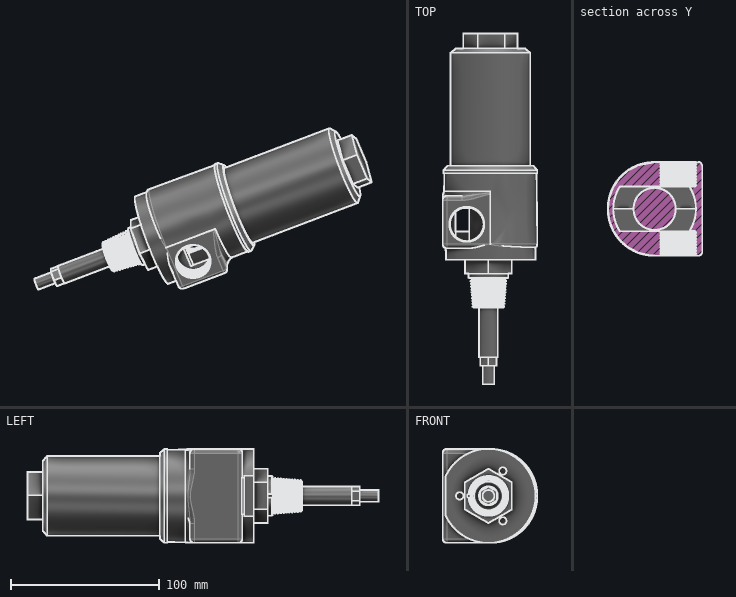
import cadquery as cq
import math

body_radius = 31.75
body_rear_radius = 31.2
body_start = 7.8
body_end = 58.4
edge_round = 3.0

block_reach = 32.29
block_end = 43.2
root_round = 3.2

collar_chamfer = 3.1
collar_chamfer_radial = 2.8
collar_end = 63.5

bowl_radius = 27.0
bowl_end = 142.5
bowl_chamfer = 3.0
bowl_chamfer_radial = 3.6
hex_flats = 31.75
hex_corners = hex_flats / math.cos(math.pi / 6)
rear_hex_end = 152.74
rear_hex_turn = 1.8

cap_axis_x = -1.33
cap_radius = body_radius
cap_flat_x = -30.0
cap_flat_length = 6.5
cap_lip_x = -30.6
pin_hole_diameter = 4.98
pin_hole_circle_radius = 19.4
pin_hole_depth = 3.0
pin_hole_count = 3
pin_hole_first_angle = 60

nut_end = -9.3
nut_turn = 30
shoulder_radius = 13.5
shoulder_end = -12.5
shoulder_chamfer = 0.6
vent_diameter = 2.64
vent_offset = 13.0
vent_depth = 4.0
thread_end = -32.4
thread_start_radius = 12.2
thread_end_radius = 10.7
thread_pitch = 1.81
thread_depth = 1.0
neck_radius = 11.0
neck_length = 0.8
rod_radius = 12.83 / 2
rod_end = -65.8
small_hex_corners = 12.83
small_hex_end = -71.4
tip_radius = 8.0 / 2
tip_end = -84.0

port_diameter = 22.63
port_mouth_diameter = 23.7
port_mouth_depth = 0.6
port_x = -15.9
port_y = 24.0
port_floor_z = 15.0
port_thread_depth = 0.7
chamber_radius = 27.8
chamber_start = 12.0
chamber_lower_start = 19.3
chamber_end = 34.7
post_radius = 28.57 / 2


def along_y(start, x=0.0):
    """Workplane normal to -Y, so a negative extrusion runs toward +Y."""
    return cq.Workplane("XZ", origin=(x, start, 0))


def cylinder(radius, start, end, x=0.0):
    return along_y(start, x).circle(radius).extrude(start - end)


def hexagon(corner_diameter, start, end, turn, x=0.0):
    """Hexagonal prism along Y; a turn of zero puts corners on +X and -X."""
    prism = along_y(start, x).polygon(6, corner_diameter).extrude(start - end)
    return prism.rotate((x, 0, 0), (x, 1, 0), turn)


def revolve_profile(points, x=0.0):
    """Turn a (radius, y) outline around the Y-parallel axis through x."""
    outline = cq.Workplane("XY", origin=(x, 0, 0)).polyline(points).close()
    return outline.revolve(360, (0, 0, 0), (0, 1, 0))


def make_shell():
    shell = revolve_profile([
        (0, body_start),
        (body_radius, body_start),
        (body_rear_radius, body_end),
        (0, body_end),
    ])
    return shell.faces("<Y").edges().fillet(edge_round)


def make_block_root(envelope):
    """Concave sweep that carries the rear of the block up onto the round shell."""
    taper = (body_radius - body_rear_radius) / (body_end - body_start)
    shell_radius = body_radius - taper * (block_end - body_start)
    rim_radius = shell_radius + root_round
    root_end = block_end + root_round
    arc_middle = (
        rim_radius - root_round * math.cos(math.pi / 4),
        root_end - root_round * math.sin(math.pi / 4),
    )
    outline = (
        cq.Workplane("XY")
        .moveTo(0, body_start)
        .lineTo(rim_radius, body_start)
        .lineTo(rim_radius, block_end)
        .threePointArc(arc_middle, (shell_radius, root_end))
        .lineTo(0, root_end)
        .close()
    )
    return outline.revolve(360, (0, 0, 0), (0, 1, 0)).intersect(envelope)


def block_box(end):
    box = cq.Workplane("XY").box(
        block_reach, end - body_start, 2 * body_radius, centered=(False, False, True)
    )
    return box.translate((-block_reach, body_start, 0))


def make_block():
    block = block_box(block_end).union(make_block_root(block_box(body_end)))
    return block.edges("<X or ((>Z or <Z) and (not (|Y and >X)))").fillet(edge_round)


def make_collar():
    return revolve_profile([
        (0, body_end),
        (body_radius, body_end),
        (body_radius, collar_end - collar_chamfer),
        (body_radius - collar_chamfer_radial, collar_end),
        (0, collar_end),
    ])


def make_bowl():
    bowl = revolve_profile([
        (0, collar_end),
        (bowl_radius, collar_end),
        (bowl_radius, bowl_end - bowl_chamfer),
        (bowl_radius - bowl_chamfer_radial, bowl_end),
        (0, bowl_end),
    ])
    return bowl.union(hexagon(hex_corners, bowl_end, rear_hex_end, rear_hex_turn))


def make_cap():
    cap_length = body_start + edge_round
    cap = cylinder(cap_radius, 0, cap_length, cap_axis_x)
    for cut_x, cut_length in ((cap_flat_x, cap_flat_length), (cap_lip_x, cap_length)):
        flat_cut = cq.Workplane("XY").box(
            cap_radius, cut_length, 2 * cap_radius, centered=(False, False, True)
        )
        cap = cap.cut(flat_cut.translate((cut_x - cap_radius, 0, 0)))
    return cap


def make_pin_holes():
    return (
        along_y(0, cap_axis_x)
        .polarArray(pin_hole_circle_radius, pin_hole_first_angle, 360, pin_hole_count)
        .circle(pin_hole_diameter / 2)
        .extrude(-pin_hole_depth)
    )


def make_threaded_nipple():
    """Tapered nipple with one V-shaped ridge per thread pitch."""
    first_ridge = shoulder_end - neck_length
    thread_length = first_ridge - thread_end
    ridge_count = int(thread_length / thread_pitch)
    pitch = thread_length / ridge_count
    slope = (thread_start_radius - thread_end_radius) / thread_length

    points = [(0, shoulder_end), (neck_radius, shoulder_end)]
    for ridge in range(ridge_count):
        root_y = first_ridge - ridge * pitch
        crest_radius = thread_start_radius - slope * (ridge + 0.5) * pitch
        points.append((crest_radius - thread_depth, root_y))
        points.append((crest_radius, root_y - pitch / 2))
    points.append((thread_end_radius - thread_depth, thread_end))
    points.append((0, thread_end))
    return revolve_profile(points, cap_axis_x)


def make_fitting():
    nut = hexagon(hex_corners, nut_end, 0, nut_turn, cap_axis_x)
    shoulder = cylinder(shoulder_radius, shoulder_end, nut_end, cap_axis_x)
    shoulder = shoulder.faces("<Y").edges().chamfer(shoulder_chamfer)
    vent_x = cap_axis_x - vent_offset
    vent = cylinder(vent_diameter / 2, shoulder_end, shoulder_end + vent_depth, vent_x)
    rod = cylinder(rod_radius, rod_end, thread_end, cap_axis_x)
    small_hex = hexagon(small_hex_corners, small_hex_end, rod_end, nut_turn, cap_axis_x)
    tip = cylinder(tip_radius, tip_end, small_hex_end, cap_axis_x)
    fitting = nut.union(shoulder).cut(vent)
    return fitting.union(make_threaded_nipple()).union(rod).union(small_hex).union(tip)


def make_port(side):
    """Threaded blind bore from a flat side (side = +1 or -1) inward."""
    depth = body_radius - port_mouth_depth - port_floor_z
    groove_count = int(depth / thread_pitch)
    pitch = depth / groove_count
    bore_radius = port_diameter / 2
    points = [(0, port_floor_z), (bore_radius, port_floor_z)]
    for groove in range(groove_count):
        groove_z = port_floor_z + groove * pitch
        points.append((bore_radius + port_thread_depth, groove_z + pitch / 2))
        points.append((bore_radius, groove_z + pitch))
    points.append((port_mouth_diameter / 2, body_radius))
    points.append((0, body_radius))
    outline = cq.Workplane("XZ").polyline(points).close()
    port = outline.revolve(360, (0, 0, 0), (0, 1, 0))
    if side < 0:
        port = port.mirror("XY")
    return port.translate((port_x, port_y, 0))


def make_post():
    return cylinder(post_radius, chamber_start, chamber_end)


def make_chamber():
    """Ring around the post between the port floors; its lower half starts further in."""
    ring = cylinder(chamber_radius, chamber_start, chamber_end)
    ring = ring.cut(make_post())
    width = 2 * chamber_radius
    length = chamber_end - chamber_start
    window = cq.Workplane("XY").box(width, length, 2 * port_floor_z, centered=(True, False, True))
    ring = ring.intersect(window.translate((0, chamber_start, 0)))
    step = cq.Workplane("XY").box(
        width, chamber_lower_start - chamber_start, port_floor_z, centered=(True, False, False)
    )
    return ring.cut(step.translate((0, chamber_start, -port_floor_z)))


result = make_shell().union(make_block()).union(make_collar()).union(make_bowl()).union(make_cap())
result = result.cut(make_pin_holes()).union(make_fitting())
post = make_post()
for port_side in (1, -1):
    result = result.cut(make_port(port_side).cut(post))
result = result.cut(make_chamber())